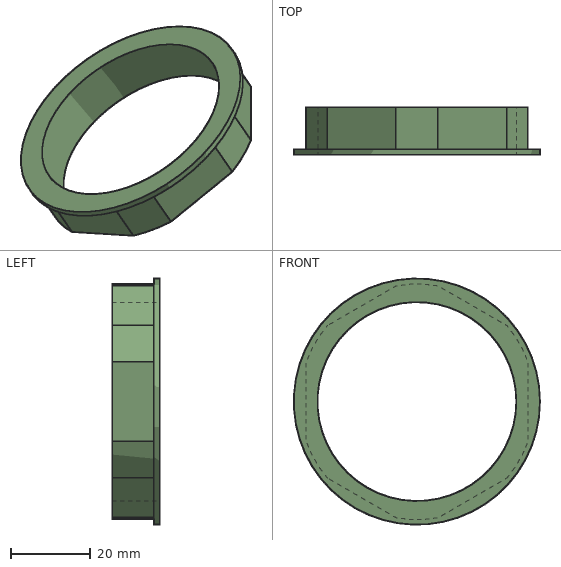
import cadquery as cq

flange_diameter = 62.0
flange_thickness = 1.5
total_depth = 12.0
bore_diameter = 50.0
body_diameter = 59.3
across_flats = 55.8
flat_count = 6

front = cq.Workplane("XZ")


def make_flange():
    return front.circle(flange_diameter / 2).extrude(-flange_thickness)


def make_body():
    """Round collar trimmed by a hexagon, with two flats facing +X and -X."""
    collar = front.circle(body_diameter / 2).extrude(-total_depth)
    hexagon = front.polygon(flat_count, across_flats, circumscribed=True).extrude(-total_depth)
    return collar.intersect(hexagon)


bore = front.circle(bore_diameter / 2).extrude(-total_depth)

result = make_flange().union(make_body()).cut(bore)